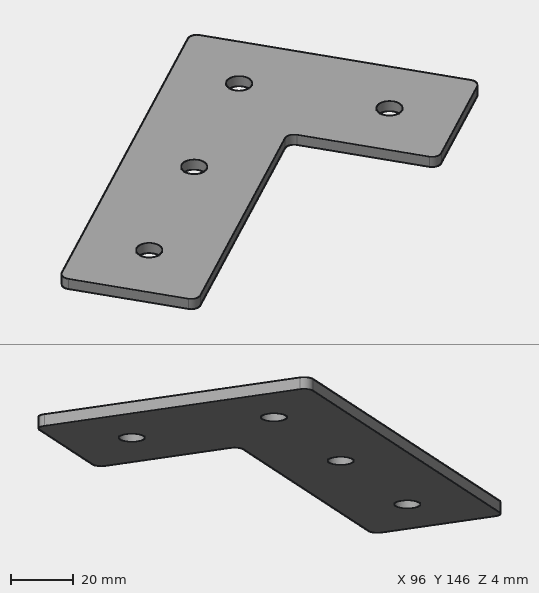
import cadquery as cq

length = 146.0
width = 96.0
thickness = 4.0
arm_width = 46.0
corner_radius = 3.0
hole_diameter = 8.3
hole_pitch = 50.0

hole_inset = arm_width / 2
corner_hole = (hole_inset, length - hole_inset)


def plate():
    """L-shaped plate with its long arm along Y and its short arm at the +Y end."""
    outline = [
        (0, 0),
        (arm_width, 0),
        (arm_width, length - arm_width),
        (width, length - arm_width),
        (width, length),
        (0, length),
    ]
    blank = cq.Workplane("XY").polyline(outline).close().extrude(thickness)
    return blank.edges("|Z").fillet(corner_radius)


def hole_cutters():
    """One hole at the corner, two down the long arm and one along the short arm."""
    corner_x, corner_y = corner_hole
    centres = [(corner_x, corner_y - step * hole_pitch) for step in range(3)]
    centres.append((corner_x + hole_pitch, corner_y))
    return cq.Workplane("XY").pushPoints(centres).circle(hole_diameter / 2).extrude(thickness)


result = plate().cut(hole_cutters())